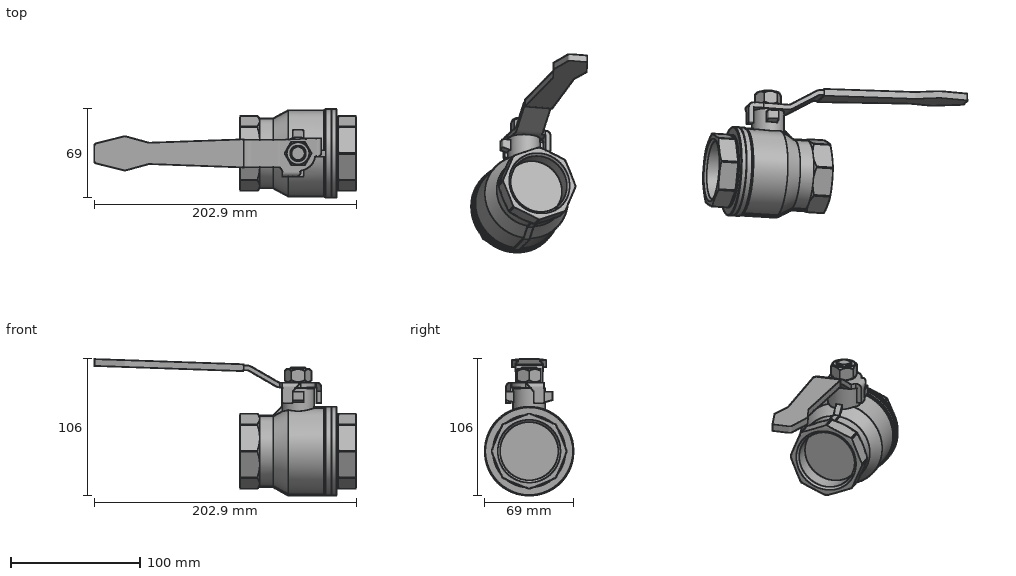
import cadquery as cq
import math


half_length = 45.0
left_octagon_end = -29.8
neck_end = -19.0
barrel_start = -7.5
flange_start = 21.0
cap_joint = 25.5
flange_end = 30.0
right_octagon_start = 31.2
neck_radius = 27.2
barrel_radius = 33.5
flange_radius = 34.5
flange_bevel = 0.6
flange_ramp_length = 1.0
joint_groove_width = 0.5
joint_groove_depth = 0.3
collar_radius = 28.2

octagon_corner_radius = 29.32
octagon_round_radius = 29.12
octagon_end_bevel_length = 0.5
octagon_end_bevel_depth = 1.6
shoulder_bevel_length = 1.6
cap_edge_bevel = 0.2
bore_mouth_radius = 24.3
bore_radius = 22.5
bore_depth = 16.2
bore_bevel = bore_mouth_radius - bore_radius

rib_width = 4.9
rib_height = 0.8

stem_neck_radius = 12.5
stem_neck_top = 48.7
stop_width = 8.5
stop_reach = 18.3
stop_top = 46.0
stop_bottom = 38.0
stop_bottom_rise = 1.6
stop_round = 1.0

plate_thickness = 3.9
plate_bottom = 49.3
plate_top = plate_bottom + plate_thickness
plate_mid = plate_bottom + plate_thickness / 2
plate_round_radius = 13.5
plate_round_end_angle = 12
plate_left_bevel = 2.0
plate_left = -14.2
plate_half_width = 11.5
arm_half_width = 10.5
arm_rise_start = -15.2
arm_rise_end = -38.1
arm_rise_angle = 30
arm_bend_setback = 1.5
arm_embedded_length = 10.1

tab_reach = 18.0
tab_bottom = 37.1
tab_wide = 14.2
tab_narrow = 8.1
tab_slope_end = 46.3
tab_bend_radius = 3.7
tab_corner_round = 1.0

grip_left = -157.9
grip_widest = -134.1
grip_waist = -115.7
grip_right = -42.2
grip_tip_half_width = 7.5
grip_widest_half_width = 13.4
grip_waist_half_width = 8.3
grip_right_half_width = 11.0
grip_thickness = 5.5
grip_tip_top = 71.5
grip_tilt = 2
grip_round = 2.0

stem_collar_radius = 7.0
stem_radius = 6.0
stem_top = 65.1
stem_bevel = 1.0
nut_across_corners = 21.0
nut_top = 64.0
nut_bevel = 1.8


def revolve_about_flow_axis(points):
    """Revolve an (x, radius) outline about the X axis."""
    return cq.Workplane("XY").polyline(points).close().revolve(360, (0, 0, 0), (1, 0, 0))


def make_barrel():
    core = revolve_about_flow_axis([
        (left_octagon_end, 0),
        (left_octagon_end, neck_radius),
        (neck_end, neck_radius),
        (barrel_start, barrel_radius),
        (flange_start - flange_ramp_length, barrel_radius),
        (flange_start, flange_radius - flange_bevel),
        (flange_start + flange_bevel, flange_radius),
        (flange_end - flange_bevel, flange_radius),
        (flange_end, flange_radius - flange_bevel),
        (flange_end, collar_radius),
        (right_octagon_start, collar_radius),
        (right_octagon_start, 0),
    ])
    groove = revolve_about_flow_axis([
        (cap_joint, flange_radius - joint_groove_depth),
        (cap_joint, flange_radius + 2),
        (cap_joint + joint_groove_width, flange_radius + 2),
        (cap_joint + joint_groove_width, flange_radius - joint_groove_depth),
    ])
    return core.cut(groove)


def make_octagon(start, end, start_bevel, end_bevel):
    """Octagonal prism along X, corners up and sideways, (length, depth) bevels on its ends."""
    prism = (
        cq.Workplane("YZ").workplane(offset=start)
        .polygon(8, 2 * octagon_corner_radius).extrude(end - start)
    )
    envelope = revolve_about_flow_axis([
        (start, 0),
        (start, octagon_round_radius - start_bevel[1]),
        (start + start_bevel[0], octagon_round_radius),
        (end - end_bevel[0], octagon_round_radius),
        (end, octagon_round_radius - end_bevel[1]),
        (end, 0),
    ])
    return prism.intersect(envelope)


def make_bore(direction):
    """Blind pipe bore with a bevelled mouth; direction is -1 or 1 along X."""
    mouth = direction * half_length
    return revolve_about_flow_axis([
        (mouth, 0),
        (mouth, bore_mouth_radius),
        (mouth - direction * bore_bevel, bore_radius),
        (mouth - direction * bore_depth, bore_radius),
        (mouth - direction * bore_depth, 0),
    ])


def make_ribs():
    neck_crest = neck_radius + rib_height
    rib_end = flange_start + flange_bevel
    crest_rise = flange_radius - neck_crest
    ribs = cq.Workplane("XY")
    for side, climb_end in ((1, neck_end + crest_rise), (-1, barrel_start)):
        outline = [
            (left_octagon_end - shoulder_bevel_length, 0),
            (left_octagon_end - shoulder_bevel_length, side * neck_crest),
            (neck_end, side * neck_crest),
            (climb_end, side * flange_radius),
            (rib_end, side * flange_radius),
            (rib_end, 0),
        ]
        rib = cq.Workplane("XZ").polyline(outline).close().extrude(rib_width / 2, both=True)
        ribs = ribs.union(rib)
    return ribs


def make_stem_neck():
    neck = cq.Workplane("XY").circle(stem_neck_radius).extrude(stem_neck_top)
    stop_outline = [
        (-stop_reach, stop_top),
        (stop_reach, stop_top),
        (stop_reach, stop_bottom + stop_bottom_rise),
        (stem_neck_radius, stop_bottom),
        (-stem_neck_radius, stop_bottom),
        (-stop_reach, stop_bottom + stop_bottom_rise),
    ]
    stops = cq.Workplane("YZ").polyline(stop_outline).close().extrude(stop_width / 2, both=True)
    stops = stops.edges("|Z").fillet(stop_round)
    return neck.union(stops)


def make_tab(wide_edge):
    """Tab bent down at the +X edge of the plate, straight on its +Y edge at wide_edge."""
    outline = [
        (wide_edge, plate_top),
        (wide_edge, tab_bottom),
        (wide_edge - tab_narrow, tab_bottom),
        (wide_edge - tab_narrow, tab_slope_end),
        (wide_edge - tab_wide, plate_top),
    ]
    tab = (
        cq.Workplane("YZ").workplane(offset=tab_reach - plate_thickness)
        .polyline(outline).close().extrude(plate_thickness)
    )
    tab = tab.edges("|Y and >X and >Z").fillet(tab_bend_radius)
    tab = tab.edges("|X and <Z").fillet(tab_corner_round)
    bridge_start = stem_radius
    bridge_length = tab_reach - plate_thickness - bridge_start
    bridge = (
        cq.Workplane("XY")
        .box(bridge_length, tab_wide, plate_thickness, centered=False)
        .translate((bridge_start, wide_edge - tab_wide, plate_bottom))
    )
    return tab.union(bridge)


def make_lever_plate():
    """Flat plate around the stem with the cranked arm, and its two bent tabs."""
    rise = math.radians(arm_rise_angle)
    corner_z = plate_mid + (arm_rise_start - arm_rise_end) * math.tan(rise)
    setback_x = arm_bend_setback * math.cos(rise)
    setback_z = arm_bend_setback * math.sin(rise)
    tilt_slope = math.tan(math.radians(grip_tilt))
    arm_inner_end = arm_rise_end - arm_embedded_length
    band = (
        cq.Workplane("XZ")
        .moveTo(tab_reach, plate_mid)
        .lineTo(arm_rise_start + arm_bend_setback, plate_mid)
        .tangentArcPoint((arm_rise_start - setback_x, plate_mid + setback_z), relative=False)
        .lineTo(arm_rise_end + setback_x, corner_z - setback_z)
        .tangentArcPoint(
            (arm_rise_end - arm_bend_setback, corner_z + arm_bend_setback * tilt_slope),
            relative=False,
        )
        .lineTo(arm_inner_end, corner_z + arm_embedded_length * tilt_slope)
        .offset2D(plate_thickness / 2)
        .extrude(2 * plate_round_radius, both=True)
    )
    arc_end_angle = math.radians(plate_round_end_angle)
    arc_end = plate_round_radius * math.cos(arc_end_angle)
    arc_middle = plate_round_radius * math.sqrt(0.5)
    outline = (
        cq.Workplane("XY")
        .moveTo(arm_inner_end, arm_half_width)
        .lineTo(arm_rise_start, arm_half_width)
        .lineTo(arc_end, plate_half_width)
        .lineTo(arc_end, -plate_round_radius * math.sin(arc_end_angle))
        .threePointArc((arc_middle, -arc_middle), (0, -plate_round_radius))
        .lineTo(plate_left + plate_left_bevel, -plate_round_radius)
        .lineTo(plate_left, -arm_half_width)
        .lineTo(arm_inner_end, -arm_half_width)
        .close()
        .extrude(grip_tip_top)
    )
    x_tab = make_tab(plate_half_width)
    y_tab = make_tab(-plate_left - plate_left_bevel).rotate((0, 0, 0), (0, 0, 1), -90).mirror("YZ")
    return band.intersect(outline).union(x_tab).union(y_tab)


def make_grip():
    half_outline = [
        (grip_left, grip_tip_half_width),
        (grip_widest, grip_widest_half_width),
        (grip_waist, grip_waist_half_width),
        (grip_right, grip_right_half_width),
    ]
    other_half = [(x, -y) for x, y in reversed(half_outline)]
    grip = (
        cq.Workplane("XY").workplane(offset=grip_tip_top - grip_thickness)
        .polyline(half_outline + other_half).close().extrude(grip_thickness)
        .edges("|Z").edges("<X or <Y or >Y").fillet(grip_round)
    )
    bottom = grip_tip_top - grip_thickness
    return grip.rotate((grip_left, 0, bottom), (grip_left, 1, bottom), grip_tilt)


def make_stem_and_nut():
    collar = (
        cq.Workplane("XY").workplane(offset=stem_neck_top)
        .circle(stem_collar_radius).extrude(plate_bottom - stem_neck_top)
    )
    stem = (
        cq.Workplane("XY").workplane(offset=stem_neck_top)
        .circle(stem_radius).extrude(stem_top - stem_neck_top)
        .faces(">Z").chamfer(stem_bevel)
    )
    nut_height = nut_top - plate_top
    nut = (
        cq.Workplane("XY").workplane(offset=plate_top)
        .polygon(6, nut_across_corners).extrude(nut_height)
    )
    nut_envelope = (
        cq.Workplane("XY").workplane(offset=plate_top)
        .circle(nut_across_corners / 2).extrude(nut_height)
        .edges().chamfer(nut_bevel)
    )
    return collar.union(stem).union(nut.intersect(nut_envelope))


outer_bevel = (octagon_end_bevel_length, octagon_end_bevel_depth)
cap_bevel = (cap_edge_bevel, cap_edge_bevel)
shoulder_bevel = (shoulder_bevel_length, octagon_round_radius - neck_radius)

body = make_barrel()
body = body.union(make_octagon(-half_length, left_octagon_end, outer_bevel, shoulder_bevel))
body = body.union(make_octagon(right_octagon_start, half_length, cap_bevel, outer_bevel))
body = body.union(make_ribs()).union(make_stem_neck())
for side in (-1, 1):
    body = body.cut(make_bore(side))

lever = make_lever_plate().union(make_grip())

result = body.union(lever).union(make_stem_and_nut())